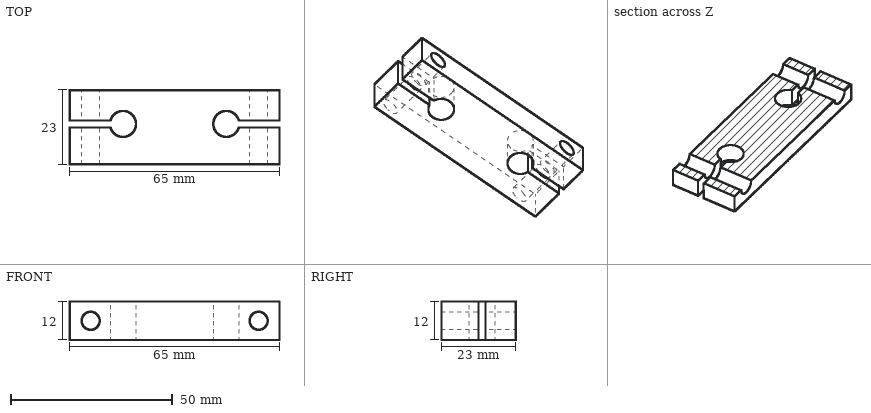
import cadquery as cq

length = 65
width = 23.0
height = 12.0

bore_diameter = 8.0
bore_spacing = 32.0
slot_width = 2.1
clamp_line_y = 1.05

screw_hole_diameter = 5.5
screw_hole_spacing = 52


def make_rod_clamp(side):
    """Bore and slot to remove; side is -1 for the -X end, +1 for the +X end."""
    bore_x = side * bore_spacing / 2
    slot_length = length / 2 - bore_spacing / 2
    bore = cq.Workplane("XY").center(bore_x, clamp_line_y).circle(bore_diameter / 2).extrude(height)
    slot = (
        cq.Workplane("XY")
        .center(bore_x + side * slot_length / 2, clamp_line_y)
        .rect(slot_length, slot_width)
        .extrude(height)
    )
    return bore.union(slot)


def make_screw_hole(side):
    """Screw hole through the full width, at mid-height."""
    return (
        cq.Workplane("XZ", origin=(0, width / 2, 0))
        .center(side * screw_hole_spacing / 2, height / 2)
        .circle(screw_hole_diameter / 2)
        .extrude(width)
    )


result = cq.Workplane("XY").box(length, width, height, centered=(True, True, False))
for side in (-1, 1):
    result = result.cut(make_rod_clamp(side)).cut(make_screw_hole(side))